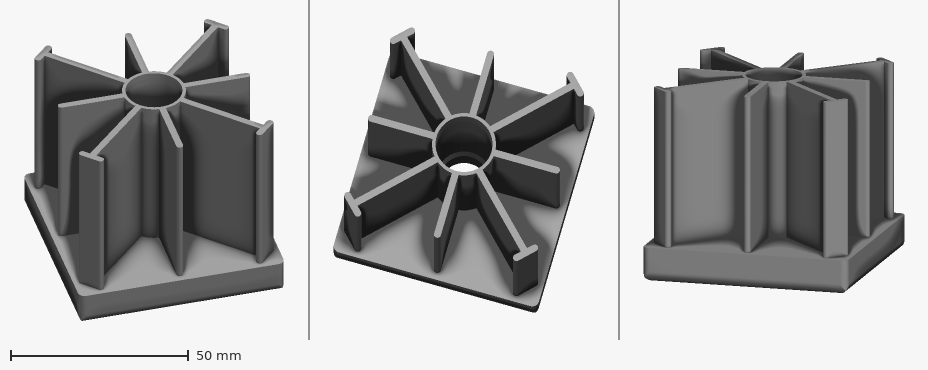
import cadquery as cq

side = 60.0
base_height = 10.0
rib_height = 45.0
corner_radius = 2.0
bottom_radius = 3.0
rib_thickness = 2.0
straight_rib_reach = 28.0
crossbar_distance = 35.75
crossbar_length = 7.8
tube_diameter = 18.0
bore_diameter = 16.0
plate_hole_diameter = 13.85

total_height = base_height + rib_height
rib_count = 8
rib_angle = 360 / rib_count


def rounded_bar(plane):
    """Square bar through the part, rounded along its two bottom edges."""
    return (
        cq.Workplane(plane)
        .center(0, base_height / 2)
        .rect(side, base_height)
        .extrude(side / 2, both=True)
        .edges("|Y" if plane == "XZ" else "|X")
        .edges("<Z")
        .fillet(bottom_radius)
    )


def base_plate():
    """Plate whose rounded bottom sides meet in mitres at the corners."""
    plate = (
        cq.Workplane("XY")
        .rect(side, side)
        .extrude(base_height)
        .edges("|Z")
        .fillet(corner_radius)
    )
    return plate.intersect(rounded_bar("XZ")).intersect(rounded_bar("YZ"))


def straight_rib():
    """Radial rib with a rounded tip, running out along +X."""
    tip_center = straight_rib_reach - rib_thickness / 2
    half = rib_thickness / 2
    return (
        cq.Workplane("XY", origin=(0, 0, base_height))
        .moveTo(0, -half)
        .lineTo(tip_center, -half)
        .threePointArc((straight_rib_reach, 0), (tip_center, half))
        .lineTo(0, half)
        .close()
        .extrude(rib_height)
    )


def corner_rib():
    """Radial rib ending in a rounded crossbar, running out along +X."""
    web = (
        cq.Workplane("XY", origin=(0, 0, base_height))
        .center(crossbar_distance / 2, 0)
        .rect(crossbar_distance, rib_thickness)
        .extrude(rib_height)
    )
    crossbar = (
        cq.Workplane("XY", origin=(0, 0, base_height))
        .center(crossbar_distance, 0)
        .slot2D(crossbar_length, rib_thickness, 90)
        .extrude(rib_height)
    )
    return web.union(crossbar)


def stepped_bore():
    """Wide bore through the tube, coned down to a narrower hole through the plate."""
    cone_depth = (bore_diameter - plate_hole_diameter) / 2
    return (
        cq.Workplane("XZ")
        .moveTo(0, 0)
        .lineTo(plate_hole_diameter / 2, 0)
        .lineTo(plate_hole_diameter / 2, base_height - cone_depth)
        .lineTo(bore_diameter / 2, base_height)
        .lineTo(bore_diameter / 2, total_height)
        .lineTo(0, total_height)
        .close()
        .revolve(360, (0, 0, 0), (0, 1, 0))
    )


tube = cq.Workplane("XY").workplane(offset=base_height).circle(tube_diameter / 2).extrude(rib_height)
result = base_plate().union(tube)

for index in range(rib_count):
    rib = straight_rib() if index % 2 == 0 else corner_rib()
    result = result.union(rib.rotate((0, 0, 0), (0, 0, 1), index * rib_angle))

result = result.cut(stepped_bore())